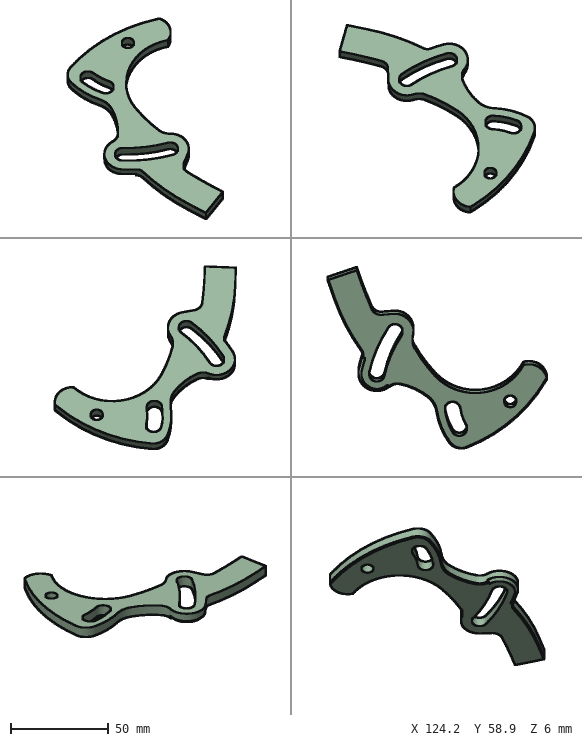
import cadquery as cq
import math

thickness = 6.0
edge_chamfer = 0.5
boss_chamfer = 1.6

pivot = (10.4, 35.5)
pivot_diameter = 6.2
slot_width = 8.0

short_slot_radius = 29.9
short_slot_angles = (-58.7, -37.8)
long_slot_radius = 70.0
long_slot_angles = (-17.7, 2.5)

hook_back_center = (81.6, 53.3)
hook_back_radius = 81.6
waist_center = (53.8, -16.8)
waist_radius = 33.6
arm_center = (43.0, 120.4)
arm_radius = 110.1

heel_radius = 7.7
hook_fillet = 12.2
waist_fillet = 6.2
arm_fillet = 4.0

boss_radius = 9.5
hook_bottom_radius = 38.4


def polar(center, radius, degrees):
    """Point at the given radius and angle from a center."""
    angle = math.radians(degrees)
    return (center[0] + radius * math.cos(angle), center[1] + radius * math.sin(angle))


def point_between(center, radius, first, second):
    """Point on a circle halfway between the directions of two nearby points."""
    x = (first[0] + second[0]) / 2 - center[0]
    y = (first[1] + second[1]) / 2 - center[1]
    length = math.hypot(x, y)
    return (center[0] + radius * x / length, center[1] + radius * y / length)


def blend(center_a, radius_a, reach_a, center_b, radius_b, reach_b):
    """Start, middle and end of an arc tangent to circles a and b.

    The reaches are the distances of the arc's center from a and b. Of the two
    possible centers, the one on the left going from a to b is used.
    """
    dx = center_b[0] - center_a[0]
    dy = center_b[1] - center_a[1]
    gap = math.hypot(dx, dy)
    along = (reach_a**2 - reach_b**2 + gap**2) / (2 * gap)
    aside = math.sqrt(reach_a**2 - along**2)
    center = (
        center_a[0] + (along * dx - aside * dy) / gap,
        center_a[1] + (along * dy + aside * dx) / gap,
    )
    start = point_between(center_a, radius_a, center, center)
    end = point_between(center_b, radius_b, center, center)
    radius = abs(reach_a - radius_a)
    return start, point_between(center, radius, start, end), end


def curved_slot(radius, angles):
    """Through cutter for a round-ended slot following an arc about the pivot."""
    start, end = angles
    middle = (start + end) / 2
    half_width = slot_width / 2
    inner = radius - half_width
    outer = radius + half_width
    return (
        cq.Workplane("XY")
        .moveTo(*polar(pivot, inner, start))
        .threePointArc(polar(pivot, inner, middle), polar(pivot, inner, end))
        .threePointArc(polar(polar(pivot, radius, end), half_width, end + 90), polar(pivot, outer, end))
        .threePointArc(polar(pivot, outer, middle), polar(pivot, outer, start))
        .threePointArc(polar(polar(pivot, radius, start), half_width, start - 90), polar(pivot, inner, start))
        .close()
        .extrude(thickness)
    )


upper_boss = polar(pivot, long_slot_radius, long_slot_angles[1])
lower_boss = polar(pivot, long_slot_radius, long_slot_angles[0])
boss_outer_radius = long_slot_radius + boss_radius

hook_tip_outer = (0, 55.3)
hook_back_start = polar(hook_back_center, hook_back_radius, 180)
hook_tip_inner = (14.3, 55.7)
hook_throat_end = (50.5, 28.2)
waist_top_end = (68.0, 36.4)
upper_boss_start = polar(upper_boss, boss_radius, 164)
upper_boss_end = polar(upper_boss, boss_radius, 54)
notch_start = (90.1, 43.5)
notch_end = (97.2, 43.5)
arm_tip_upper = (113.7, 57.4)

hook_tip_middle = (7.3, 58.9)
hook_throat_middle = (27.3, 31.0)
waist_top_middle = (59.8, 31.9)
boss_neck_middle = (69.8, 38.1)
upper_boss_middle = polar(upper_boss, boss_radius, 109)
notch_middle = (93.6, 42.1)
arm_top_middle = (104.7, 49.4)

arm_end_angle = -48.2
arm_tip_x = 124.2
arm_arc_end = polar(arm_center, arm_radius, arm_end_angle)
arm_tip_lower = (
    arm_tip_x,
    arm_arc_end[1] - (arm_tip_x - arm_arc_end[0]) / math.tan(math.radians(arm_end_angle)),
)
arm_end_middle = ((arm_arc_end[0] + arm_tip_x) / 2, (arm_arc_end[1] + arm_tip_lower[1]) / 2)

arm_blend = blend(
    arm_center, arm_radius, arm_radius + arm_fillet,
    pivot, boss_outer_radius, boss_outer_radius + arm_fillet,
)[::-1]
waist_blend = blend(
    waist_center, waist_radius, waist_radius - waist_fillet,
    lower_boss, boss_radius, boss_radius + waist_fillet,
)
hook_blend = blend(
    pivot, hook_bottom_radius, hook_bottom_radius + hook_fillet,
    waist_center, waist_radius, waist_radius - hook_fillet,
)
heel_blend = blend(
    hook_back_center, hook_back_radius, hook_back_radius - heel_radius,
    pivot, hook_bottom_radius, hook_bottom_radius - heel_radius,
)
boss_side_end = polar(pivot, boss_outer_radius, long_slot_angles[0])

hook_side_middle = (0, (hook_tip_outer[1] + hook_back_start[1]) / 2)
hook_back_middle = point_between(hook_back_center, hook_back_radius, hook_back_start, heel_blend[0])
hook_bottom_middle = point_between(pivot, hook_bottom_radius, heel_blend[2], hook_blend[0])
waist_middle = point_between(waist_center, waist_radius, hook_blend[2], waist_blend[0])
lower_boss_middle = polar(lower_boss, boss_radius, -90)
boss_side_middle = point_between(pivot, boss_outer_radius, boss_side_end, arm_blend[0])
arm_middle = point_between(arm_center, arm_radius, arm_blend[2], arm_arc_end)


def plate():
    """Outline followed anticlockwise from the outer corner of the hook tip."""
    return (
        cq.Workplane("XY")
        .moveTo(*hook_tip_outer)
        .lineTo(*hook_back_start)
        .threePointArc(hook_back_middle, heel_blend[0])
        .threePointArc(*heel_blend[1:])
        .threePointArc(hook_bottom_middle, hook_blend[0])
        .threePointArc(*hook_blend[1:])
        .threePointArc(waist_middle, waist_blend[0])
        .threePointArc(*waist_blend[1:])
        .threePointArc(lower_boss_middle, boss_side_end)
        .threePointArc(boss_side_middle, arm_blend[0])
        .threePointArc(*arm_blend[1:])
        .threePointArc(arm_middle, arm_arc_end)
        .lineTo(*arm_tip_lower)
        .lineTo(*arm_tip_upper)
        .threePointArc(arm_top_middle, notch_end)
        .threePointArc(notch_middle, notch_start)
        .lineTo(*upper_boss_end)
        .threePointArc(upper_boss_middle, upper_boss_start)
        .threePointArc(boss_neck_middle, waist_top_end)
        .threePointArc(waist_top_middle, hook_throat_end)
        .threePointArc(hook_throat_middle, hook_tip_inner)
        .threePointArc(hook_tip_middle, hook_tip_outer)
        .close()
        .extrude(thickness)
    )


def bevel_sector(center, radius, start, end):
    """Cutter for a 45 degree bevel under a round edge, between two angles about its center."""
    return (
        cq.Workplane("XZ")
        .polyline([(radius - boss_chamfer, 0), (radius + edge_chamfer, 0),
                   (radius + edge_chamfer, boss_chamfer + edge_chamfer)])
        .close()
        .revolve(end - start, (0, 0), (0, 1))
        .rotate((0, 0, 0), (0, 0, 1), start)
        .translate((center[0], center[1], 0))
    )


def chamfer_lower_edges(body):
    """Break the bottom edge along the outer side, from the hook tip round to the arm tip."""
    edge_points = [
        hook_side_middle,
        hook_back_middle,
        heel_blend[1],
        hook_bottom_middle,
        hook_blend[1],
        waist_middle,
        waist_blend[1],
        lower_boss_middle,
        boss_side_middle,
        arm_blend[1],
        arm_middle,
        arm_end_middle,
    ]
    bottom = body.faces("<Z")
    edges = [bottom.edges(cq.selectors.NearestToPointSelector((x, y, 0))).val() for x, y in edge_points]
    return body.newObject(edges).chamfer(edge_chamfer)


result = chamfer_lower_edges(plate())

lower_boss_start_angle = math.degrees(
    math.atan2(waist_blend[2][1] - lower_boss[1], waist_blend[2][0] - lower_boss[0])
)
boss_side_end_angle = math.degrees(
    math.atan2(arm_blend[0][1] - pivot[1], arm_blend[0][0] - pivot[0])
)
result = result.cut(bevel_sector(lower_boss, boss_radius, lower_boss_start_angle, long_slot_angles[0]))
result = result.cut(bevel_sector(pivot, boss_outer_radius, long_slot_angles[0], boss_side_end_angle))

result = result.cut(curved_slot(short_slot_radius, short_slot_angles))
result = result.cut(curved_slot(long_slot_radius, long_slot_angles))
pivot_hole = cq.Workplane("XY").center(*pivot).circle(pivot_diameter / 2).extrude(thickness)
result = result.cut(pivot_hole)